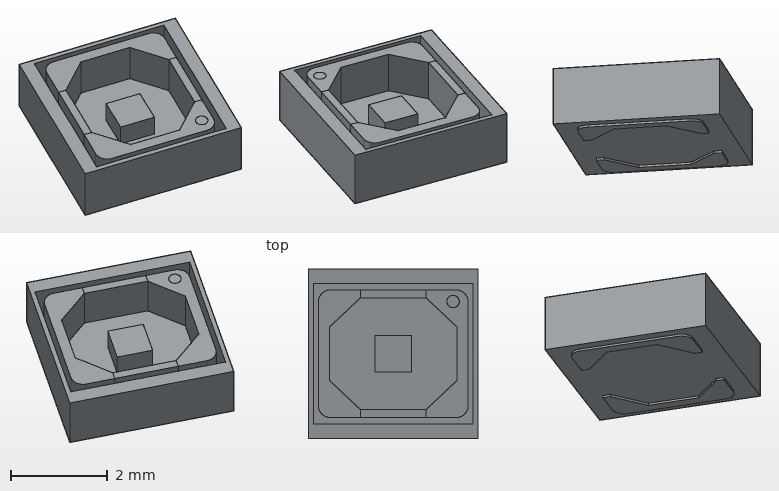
import cadquery as cq

housing_side = 3.5
housing_height = 1.2
lead_protrusion = 0.05
lead_height = housing_height + lead_protrusion

moat_length = 3.3
moat_width = 2.9
recess_depth = 0.9
floor_height = housing_height - recess_depth

island_length = 3.095
island_width = 2.64
island_corner_radius = 0.255

cavity_length = 2.64
cavity_width = 2.305
cavity_long_flat = 1.355
cavity_short_flat = 1.095

die_side = 0.755
die_height = 0.483

mark_diameter = 0.255
mark_thickness = 0.05
mark_x = 1.235
mark_y = 1.078


def box_on(base_z, length, width, height):
    """A box centred on the Z axis that stands on base_z."""
    return cq.Workplane("XY", origin=(0, 0, base_z)).rect(length, width).extrude(height)


def make_island(base_z, height):
    """The rounded rectangular island, without its cavity."""
    island = box_on(base_z, island_length, island_width, height)
    return island.edges("|Z").fillet(island_corner_radius)


def make_cavity(base_z, height):
    """The octagonal prism that hollows the island."""
    half_length = cavity_length / 2
    half_width = cavity_width / 2
    half_long_flat = cavity_long_flat / 2
    half_short_flat = cavity_short_flat / 2
    outline = [
        (half_length, -half_short_flat),
        (half_length, half_short_flat),
        (half_long_flat, half_width),
        (-half_long_flat, half_width),
        (-half_length, half_short_flat),
        (-half_length, -half_short_flat),
        (-half_long_flat, -half_width),
        (half_long_flat, -half_width),
    ]
    return cq.Workplane("XY", origin=(0, 0, base_z)).polyline(outline).close().extrude(height)


def make_mark():
    """The polarity disc let into the right lead."""
    base = cq.Workplane("XY", origin=(mark_x, mark_y, housing_height - mark_thickness))
    return base.circle(mark_diameter / 2).extrude(mark_thickness)


def make_lead(side):
    """A C-shaped lead around one X end of the cavity; side is -1 or +1."""
    ring = make_island(-lead_protrusion, lead_height).cut(make_cavity(-lead_protrusion, lead_height))
    end_length = (island_length - cavity_long_flat) / 2
    end_centre = side * (island_length + cavity_long_flat) / 4
    end_block = box_on(-lead_protrusion, end_length, island_width, lead_height)
    return ring.intersect(end_block.translate((end_centre, 0, 0)))


def make_housing(leads):
    """The block with its moat, cavity, die and the slots that hold the leads."""
    block = box_on(0, housing_side, housing_side, housing_height)
    moat = box_on(floor_height, moat_length, moat_width, recess_depth)
    moat = moat.cut(make_island(floor_height, recess_depth))
    die = box_on(floor_height, die_side, die_side, die_height)
    body = block.cut(moat).cut(make_cavity(floor_height, recess_depth)).union(die)
    for lead in leads:
        body = body.cut(lead)
    return body


leads = [make_lead(side) for side in (-1, 1)]
housing = make_housing(leads)
mark = make_mark()
left_lead = leads[0]
right_lead = leads[1].cut(mark)

bodies = [housing, left_lead, right_lead, mark]
result = cq.Compound.makeCompound([body.solids().val() for body in bodies])